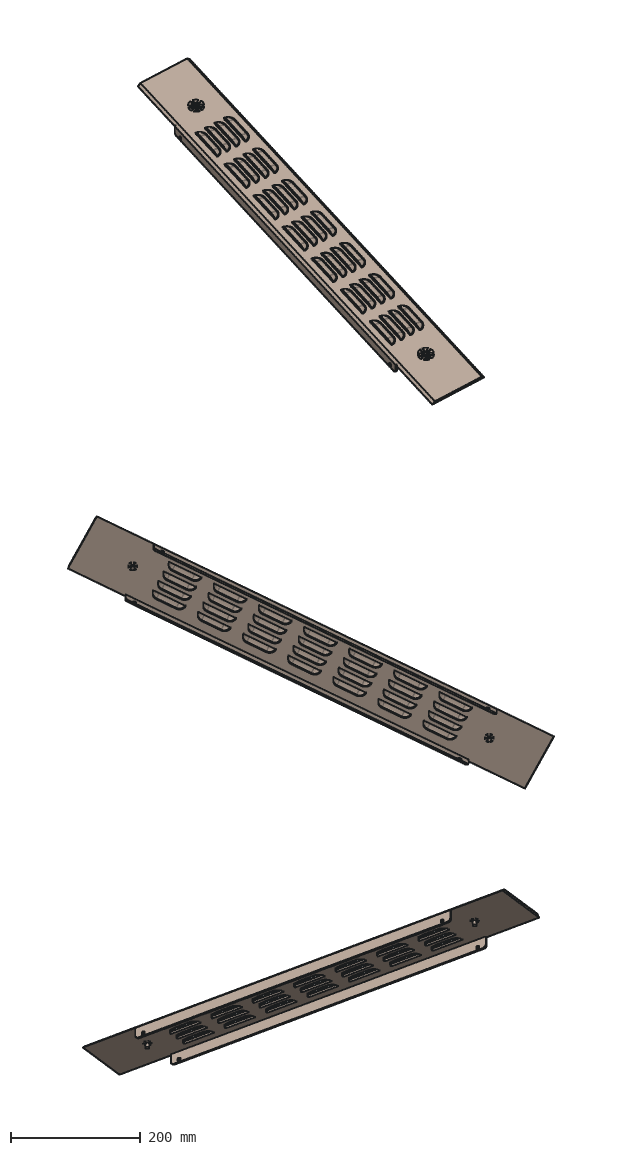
import cadquery as cq
import math

LENGTH = 795.0
WIDTH = 98.0
PLATE_THICKNESS = 5.0
FLANGE_DROP = 19.0
FLANGE_THICKNESS = 3.0
FLANGE_LENGTH = 596.0
FLANGE_CORNER = 5.0
FLANGE_HOLE_DIAMETER = 5.5
FLANGE_HOLE_INSET = 15.0
FLANGE_HOLE_HEIGHT = 5.0
PLATE_TOP = FLANGE_DROP + PLATE_THICKNESS

LOUVER_COLUMNS = 7
LOUVER_ROWS = 4
COLUMN_SPAN = 471.0
ROW_SPAN = 53.0
LOUVER_LENGTH = 60.0
LOUVER_DEPTH = 13.0
LOUVER_RISE = 5.0
LOUVER_WALL = 1.5

SCREW_SPACING = 620.0
SINK_RADIUS = 13.0
SINK_FLOOR_RADIUS = 7.0
SINK_DEPTH = 3.0
SINK_RIBS = 6
SINK_RIB_WIDTH = 4.0
SCREW_HEAD_RADIUS = 5.2
SCREW_HEAD_TOP = PLATE_TOP + 1.0
SCREW_SOCKET_RADIUS = 2.0
SCREW_STEM_RADIUS = 3.0
SCREW_STEM_BOTTOM = 12.0


def make_plate():
    """Flat plate whose two long top edges are chamfered down to its underside."""
    half_width = WIDTH / 2
    half_top = half_width - PLATE_THICKNESS
    return (
        cq.Workplane("YZ", origin=(-LENGTH / 2, 0, 0))
        .moveTo(-half_width, FLANGE_DROP)
        .lineTo(half_width, FLANGE_DROP)
        .lineTo(half_top, PLATE_TOP)
        .lineTo(-half_top, PLATE_TOP)
        .close()
        .extrude(LENGTH)
    )


def make_flanges():
    """Pair of strips under the long edges, each with a mounting hole near either end."""
    strip_y = (WIDTH - FLANGE_THICKNESS) / 2
    strips = (
        cq.Workplane("XY")
        .rarray(8, 2 * strip_y, 1, 2)
        .rect(FLANGE_LENGTH, FLANGE_THICKNESS)
        .extrude(FLANGE_DROP)
        .edges("|Y and <Z")
        .fillet(FLANGE_CORNER)
    )
    holes = (
        cq.Workplane("XZ", origin=(0, 0, FLANGE_HOLE_HEIGHT))
        .rarray(FLANGE_LENGTH - 2 * FLANGE_HOLE_INSET, 8, 2, 1)
        .circle(FLANGE_HOLE_DIAMETER / 2)
        .extrude(WIDTH, both=True)
    )
    return strips.cut(holes)


def louver_form(depth, rise, base):
    """Hood with an arched roof and rounded ends, its open face on the plane Y = 0.

    The roof is an arc, level at the open face, that meets the plate top at the back.
    Below the plate top the form continues straight down to base.
    """
    half_straight = LOUVER_LENGTH / 2 - LOUVER_DEPTH
    crown = PLATE_TOP + rise
    roof_radius = (depth**2 + rise**2) / (2 * rise)
    half_angle = math.asin(depth / roof_radius) / 2
    roof_middle = (
        roof_radius * math.sin(half_angle),
        crown - roof_radius * (1 - math.cos(half_angle)),
    )

    def profile(plane, x):
        return (
            cq.Workplane(plane, origin=(x, 0, 0))
            .moveTo(0, base)
            .lineTo(0, crown)
            .threePointArc(roof_middle, (depth, PLATE_TOP))
            .lineTo(depth, base)
            .close()
        )

    back_half = cq.Workplane("XY").box(
        LOUVER_LENGTH, LOUVER_DEPTH, PLATE_TOP + LOUVER_RISE, centered=(True, False, False)
    )
    form = profile("YZ", -half_straight).extrude(2 * half_straight)
    for x in (-half_straight, half_straight):
        dome = profile("XZ", x).revolve(360, (0, 0, 0), (0, 1, 0))
        form = form.union(dome.intersect(back_half))
    return form


def louver_places():
    """Middle of each louver's open edge, in a grid centred on the plate."""
    column_pitch = COLUMN_SPAN / (LOUVER_COLUMNS - 1)
    row_pitch = ROW_SPAN / (LOUVER_ROWS - 1)
    first_y = -(ROW_SPAN + LOUVER_DEPTH) / 2
    return [
        (column * column_pitch - COLUMN_SPAN / 2, first_y + row * row_pitch, 0)
        for column in range(LOUVER_COLUMNS)
        for row in range(LOUVER_ROWS)
    ]


def add_louvers(body):
    """Raise the hoods from the plate and open the sheet beneath each one."""
    hood = louver_form(LOUVER_DEPTH, LOUVER_RISE, FLANGE_DROP)
    hollow = louver_form(LOUVER_DEPTH - LOUVER_WALL, LOUVER_RISE - LOUVER_WALL, FLANGE_DROP)
    hoods = cq.Workplane("XY")
    hollows = cq.Workplane("XY")
    for place in louver_places():
        hoods.add(hood.translate(place))
        hollows.add(hollow.translate(place))
    body = body.union(cq.Compound.makeCompound(hoods.vals()))
    return body.cut(cq.Compound.makeCompound(hollows.vals()))


def add_screw(body, x):
    """Ribbed countersink with a socket screw whose head stands slightly proud of the plate."""
    sink_floor = PLATE_TOP - SINK_DEPTH
    sink = (
        cq.Workplane("XZ")
        .moveTo(0, sink_floor)
        .lineTo(SINK_FLOOR_RADIUS, sink_floor)
        .lineTo(SINK_RADIUS, PLATE_TOP)
        .lineTo(0, PLATE_TOP)
        .close()
        .revolve(360, (0, 0, 0), (0, 1, 0))
    )
    rib = cq.Workplane("XY", origin=(0, 0, sink_floor))
    rib = rib.rect(2 * SINK_RADIUS, SINK_RIB_WIDTH).extrude(SINK_DEPTH)
    for index in range(SINK_RIBS // 2):
        sink = sink.cut(rib.rotate((0, 0, 0), (0, 0, 1), index * 360 / SINK_RIBS))
    head = cq.Workplane("XY", origin=(0, 0, sink_floor)).circle(SCREW_HEAD_RADIUS)
    head = head.extrude(SCREW_HEAD_TOP - sink_floor)
    socket = cq.Workplane("XY", origin=(0, 0, sink_floor)).circle(SCREW_SOCKET_RADIUS)
    socket = socket.extrude(SCREW_HEAD_TOP - sink_floor)
    head = head.cut(socket)
    stem = cq.Workplane("XY", origin=(0, 0, SCREW_STEM_BOTTOM)).circle(SCREW_STEM_RADIUS)
    stem = stem.extrude(sink_floor - SCREW_STEM_BOTTOM)
    body = body.cut(sink.translate((x, 0, 0)))
    return body.union(head.union(stem).translate((x, 0, 0)))


result = add_louvers(make_plate().union(make_flanges()))
for side in (-1, 1):
    result = add_screw(result, side * SCREW_SPACING / 2)